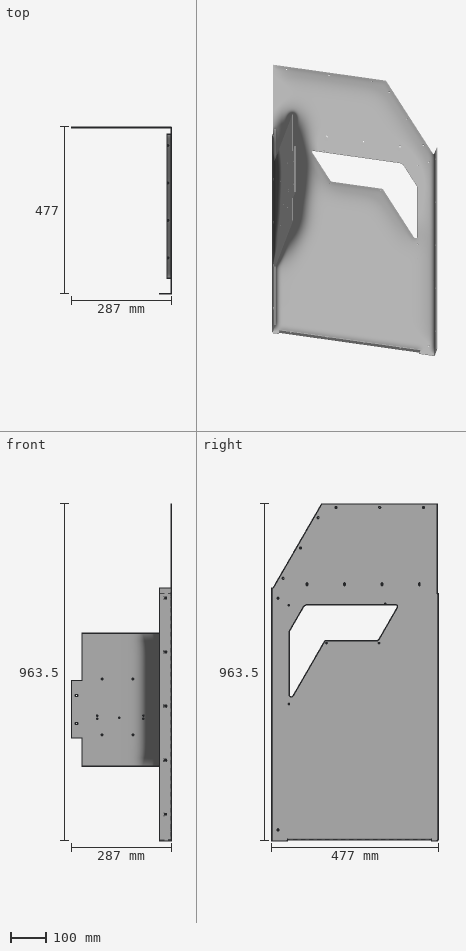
import cadquery as cq
import math


SHEET = 2.0
BEND_INNER = 1.0
BEND_OUTER = BEND_INNER + SHEET

DEPTH = 477.0
HEIGHT = 963.5
SLOPE_ANGLE = math.radians(60)
SLOPE_TAN = math.tan(SLOPE_ANGLE)
SLOPE_FOOT_Y = 4.5
SLOPE_FOOT_Z = 723.5

FRONT_FLANGE_WIDTH = 35.0
FRONT_FLANGE_TOP = SLOPE_FOOT_Z

BACK_FLANGE_WIDTH = 35.0
BACK_FLANGE_BOTTOM = 3.0
BACK_FLANGE_TOP = 707.5
PLATE_REACH = 257.0
PLATE_BOTTOM = 213.5
PLATE_TOP = 594.5
TAB_REACH = 287.0
TAB_BOTTOM = 294.5
TAB_TOP = 459.5

BOTTOM_FLANGE_WIDTH = 14.0
BOTTOM_FLANGE_START = 45.0
BOTTOM_FLANGE_END = 457.0
BOTTOM_FLANGE_Z = 3.0

WINDOW_TOP = 675.5
WINDOW_BOTTOM = 573.0
WINDOW_FRONT = 51.0
WINDOW_FRONT_CORNER_Z = 599.5
WINDOW_BOTTOM_START = 152.5
WINDOW_BOTTOM_END = 304.5
WINDOW_RADIUS = 5.5
WINDOW_TOP_RADIUS = 15.0

SMALL_HOLE = 3.2
MEDIUM_HOLE = 4.2
LARGE_HOLE = 5.0

FRONT_HOLE_X = -FRONT_FLANGE_WIDTH / 2
BACK_HOLE_X = -19.0
FLANGE_HOLE_FIRST_Z = 77.0
FLANGE_HOLE_PITCH = 154.5
FLANGE_HOLE_COUNT = 5
BACK_FLANGE_HOLE = 10.0
TAB_SLOT_LENGTH = 8.0
TAB_SLOT_WIDTH = LARGE_HOLE

SHELF_SLOT_FIRST_Y = 101.5
BOTTOM_HOLE_FIRST_Y = 103.5
SHELF_PITCH = 107.0
SHELF_COUNT = 4
SHELF_SLOT_Z = 734.0
SHELF_SLOT_LENGTH = 7.5
BOTTOM_HOLE_X = -11.0

TOP_HOLE_FIRST_Y = 184.0
TOP_HOLE_PITCH = 125.0
TOP_HOLE_COUNT = 3
TOP_HOLE_EDGE_DISTANCE = 10.0
TOP_HOLE_Z = HEIGHT - TOP_HOLE_EDGE_DISTANCE

SLOPE_HOLE_FIRST = (33.0, 751.0)
SLOPE_HOLE_PITCH = 100.0
SLOPE_HOLE_COUNT = 3

FRONT_EDGE_HOLES = [(18.5, 32.5), (18.5, 694.0)]
WINDOW_HOLES = [(49.5, 392.0), (49.5, 674.0), (157.0, 566.0), (307.0, 566.0), (325.0, 679.0)]

TAB_SLOTS = [(-272.0, 336.0), (-272.0, 416.0)]
PLATE_SCREW_HOLES = [(x, z) for x in (-199.0, -111.0) for z in (304.0, 463.5)]
PLATE_PIN_HOLES = [(x, z) for x in (-213.0, -81.0) for z in (350.0, 359.0)] + [(-150.0, 353.0)]


CUT_DEPTH = 4 * SHEET
CUT_CLEARANCE = SHEET


def panel_cutter():
    """Workplane in (y, z) from which cutters run along +X through the panel."""
    return cq.Workplane("YZ", origin=(-SHEET - CUT_CLEARANCE, 0, 0))


def back_cutter():
    """Workplane in (x, z) from which cutters run along -Y through the back flange and its plate."""
    return cq.Workplane("XZ", origin=(0, DEPTH + CUT_CLEARANCE, 0))


def panel_holes(points, diameter):
    return panel_cutter().pushPoints(points).circle(diameter / 2).extrude(CUT_DEPTH)


def panel_slots(points, length, width):
    upright = 90
    return panel_cutter().pushPoints(points).slot2D(length, width, upright).extrude(CUT_DEPTH)


def back_holes(points, diameter):
    return back_cutter().pushPoints(points).circle(diameter / 2).extrude(CUT_DEPTH)


def back_slots(points, length, width):
    return back_cutter().pushPoints(points).slot2D(length, width).extrude(CUT_DEPTH)


def make_panel():
    slope_top_y = (HEIGHT - SLOPE_FOOT_Z) / SLOPE_TAN + SLOPE_FOOT_Y
    outline = [
        (0, 0),
        (0, SLOPE_FOOT_Z),
        (SLOPE_FOOT_Y, SLOPE_FOOT_Z),
        (slope_top_y, HEIGHT),
        (DEPTH - BEND_OUTER, HEIGHT),
        (DEPTH - BEND_OUTER, BACK_FLANGE_TOP),
        (DEPTH, BACK_FLANGE_TOP),
        (DEPTH, BACK_FLANGE_BOTTOM),
        (DEPTH - BEND_OUTER, BACK_FLANGE_BOTTOM),
        (DEPTH - BEND_OUTER, 0),
        (BOTTOM_FLANGE_END, 0),
        (BOTTOM_FLANGE_END, BOTTOM_FLANGE_Z),
        (BOTTOM_FLANGE_START, BOTTOM_FLANGE_Z),
        (BOTTOM_FLANGE_START, 0),
    ]
    return cq.Workplane("YZ").polyline(outline).close().extrude(-SHEET)


def make_front_flange():
    flange = cq.Workplane("XY").box(FRONT_FLANGE_WIDTH, SHEET, FRONT_FLANGE_TOP, centered=False)
    return flange.translate((-FRONT_FLANGE_WIDTH, 0, 0))


def make_back_flange():
    outline = [
        (0, BACK_FLANGE_BOTTOM),
        (0, BACK_FLANGE_TOP),
        (-BACK_FLANGE_WIDTH, BACK_FLANGE_TOP),
        (-BACK_FLANGE_WIDTH, PLATE_TOP),
        (-PLATE_REACH, PLATE_TOP),
        (-PLATE_REACH, TAB_TOP),
        (-TAB_REACH, TAB_TOP),
        (-TAB_REACH, TAB_BOTTOM),
        (-PLATE_REACH, TAB_BOTTOM),
        (-PLATE_REACH, PLATE_BOTTOM),
        (-BACK_FLANGE_WIDTH, PLATE_BOTTOM),
        (-BACK_FLANGE_WIDTH, BACK_FLANGE_BOTTOM),
    ]
    return cq.Workplane("XZ", origin=(0, DEPTH, 0)).polyline(outline).close().extrude(SHEET)


def make_bottom_flange():
    length = BOTTOM_FLANGE_END - BOTTOM_FLANGE_START
    flange = cq.Workplane("XY").box(BOTTOM_FLANGE_WIDTH, length, SHEET, centered=False)
    return flange.translate((-BOTTOM_FLANGE_WIDTH, BOTTOM_FLANGE_START, BOTTOM_FLANGE_Z))


def bend(body, start, end, inward_y, inward_z):
    """Round the square corner between the panel and a flange, outside and inside.

    start and end are the ends of the outer corner line on X = 0; inward_y and inward_z
    give the direction from that line into the panel.
    """
    length_y = end[0] - start[0]
    length_z = end[1] - start[1]
    run = cq.Vector(0, length_y, length_z)
    inward = cq.Vector(0, inward_y, inward_z)
    plane = cq.Plane(origin=(0, start[0], start[1]), xDir=(-1, 0, 0), normal=run.normalized())
    side = 1 if inward.dot(plane.yDir) > 0 else -1

    block = cq.Workplane(plane).rect(BEND_OUTER, side * BEND_OUTER, centered=False).extrude(run.Length)
    centre = cq.Workplane(plane).center(BEND_OUTER, side * BEND_OUTER)
    ring = centre.circle(BEND_OUTER).circle(BEND_INNER).extrude(run.Length)
    return body.cut(block).union(block.intersect(ring))


def make_window():
    back_run = (WINDOW_TOP - WINDOW_BOTTOM) / SLOPE_TAN
    bottom_back = (WINDOW_BOTTOM_END, WINDOW_BOTTOM)
    top_back = (WINDOW_BOTTOM_END + back_run, WINDOW_TOP)
    top_front = (WINDOW_FRONT + (WINDOW_TOP - WINDOW_FRONT_CORNER_Z) / SLOPE_TAN, WINDOW_TOP)
    front_corner = (WINDOW_FRONT, WINDOW_FRONT_CORNER_Z)
    tip = (WINDOW_FRONT, WINDOW_BOTTOM - (WINDOW_BOTTOM_START - WINDOW_FRONT) * SLOPE_TAN)
    bottom_front = (WINDOW_BOTTOM_START, WINDOW_BOTTOM)

    outline = [bottom_back, top_back, top_front, front_corner, tip, bottom_front]
    window = panel_cutter().polyline(outline).close().extrude(CUT_DEPTH)
    for corner in outline:
        radius = WINDOW_TOP_RADIUS if corner == top_front else WINDOW_RADIUS
        edge = cq.selectors.NearestToPointSelector((0, *corner))
        window = window.edges("|X").edges(edge).fillet(radius)
    return window


def cut_panel_holes(body):
    top_row = [(TOP_HOLE_FIRST_Y + i * TOP_HOLE_PITCH, TOP_HOLE_Z) for i in range(TOP_HOLE_COUNT)]
    slope_row = [
        (
            SLOPE_HOLE_FIRST[0] + i * SLOPE_HOLE_PITCH * math.cos(SLOPE_ANGLE),
            SLOPE_HOLE_FIRST[1] + i * SLOPE_HOLE_PITCH * math.sin(SLOPE_ANGLE),
        )
        for i in range(SLOPE_HOLE_COUNT)
    ]
    body = body.cut(panel_holes(top_row + slope_row + FRONT_EDGE_HOLES, LARGE_HOLE))
    body = body.cut(panel_holes(WINDOW_HOLES, SMALL_HOLE))
    shelf_row = [(SHELF_SLOT_FIRST_Y + i * SHELF_PITCH, SHELF_SLOT_Z) for i in range(SHELF_COUNT)]
    return body.cut(panel_slots(shelf_row, SHELF_SLOT_LENGTH, SMALL_HOLE))


def cut_flange_holes(body):
    heights = [FLANGE_HOLE_FIRST_Z + i * FLANGE_HOLE_PITCH for i in range(FLANGE_HOLE_COUNT)]
    front_row = [(FRONT_HOLE_X, z) for z in heights]
    back_row = [(BACK_HOLE_X, z) for z in heights]
    front = cq.Workplane("XZ", origin=(0, SHEET + CUT_CLEARANCE, 0)).pushPoints(front_row)
    body = body.cut(front.circle(MEDIUM_HOLE / 2).extrude(CUT_DEPTH))
    body = body.cut(back_holes(back_row, BACK_FLANGE_HOLE))
    body = body.cut(back_slots(TAB_SLOTS, TAB_SLOT_LENGTH, TAB_SLOT_WIDTH))
    body = body.cut(back_holes(PLATE_SCREW_HOLES, MEDIUM_HOLE))
    body = body.cut(back_holes(PLATE_PIN_HOLES, SMALL_HOLE))
    bottom_row = [(BOTTOM_HOLE_X, BOTTOM_HOLE_FIRST_Y + i * SHELF_PITCH) for i in range(SHELF_COUNT)]
    bottom = cq.Workplane("XY", origin=(0, 0, BOTTOM_FLANGE_Z - CUT_CLEARANCE)).pushPoints(bottom_row)
    return body.cut(bottom.circle(MEDIUM_HOLE / 2).extrude(CUT_DEPTH))


body = make_panel().union(make_front_flange()).union(make_back_flange()).union(make_bottom_flange())
body = bend(body, (0, 0), (0, FRONT_FLANGE_TOP), 1, 0)
body = bend(body, (DEPTH, BACK_FLANGE_BOTTOM), (DEPTH, BACK_FLANGE_TOP), -1, 0)
body = bend(body, (BOTTOM_FLANGE_START, BOTTOM_FLANGE_Z), (BOTTOM_FLANGE_END, BOTTOM_FLANGE_Z), 0, 1)
body = body.cut(make_window())
body = cut_panel_holes(body)
result = cut_flange_holes(body)